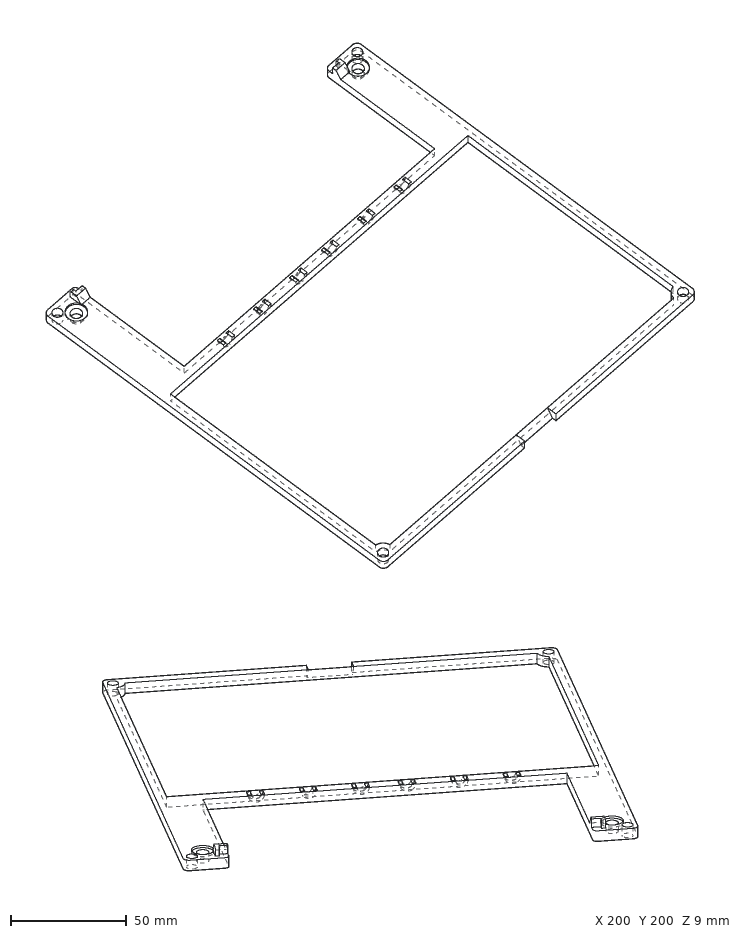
import cadquery as cq

side = 200.0
half = side / 2
thickness = 5.0
total_height = 9.0
rail = 5.0
corner_radius = 2.5

bar_left = -35.8
bar_right = -30.0
arm_width = 20.0
arm_tip_radius = 2.0
arm_inner_y = half - arm_width

corner_hole_diameter = 4.8
corner_hole_inset = 4.2
corner_boss_radius = 5.2
screw_hole_diameter = 5.5
counterbore_diameter = 9.8
counterbore_depth = 1.0
screw_inset = 10.0

tab_outer_y = 85.8
tab_web_thickness = 1.8
tab_front_x = -97.5
tab_face_x = -95.8
tab_peak_x = -93.8
tab_back_x = -91.0
tab_nose = 1.2

tie_group_offsets = (10.2, 33.2, 56.5)
tie_outer_radius = 3.5
tie_inner_radius = 2.0
tie_width = 3.5

relief_length = 20.0
relief_foot_x = 98.0


def box(x_min, x_max, y_min, y_max, height):
    """Block standing on Z = 0 between the given X and Y limits."""
    return (
        cq.Workplane("XY")
        .box(x_max - x_min, y_max - y_min, height, centered=False)
        .translate((x_min, y_min, 0))
    )


def cylinder(x, y, diameter, height, base=0.0):
    """Upright cylinder."""
    return cq.Workplane("XY", origin=(x, y, base)).circle(diameter / 2).extrude(height)


def make_frame():
    """Square plate with the window and the gap between the arms removed."""
    plate = box(-half, half, -half, half, thickness).edges("|Z").fillet(corner_radius)
    inner = half - rail
    window = box(bar_right, inner, -inner, inner, thickness)
    gap = box(-half, bar_left, -arm_inner_y, arm_inner_y, thickness)
    frame = plate.cut(window).cut(gap)
    tips = cq.selectors.BoxSelector(
        (-half - 0.2, -arm_inner_y - 0.2, -2),
        (-half + 0.2, arm_inner_y + 0.2, thickness + 2),
    )
    return frame.edges("|Z").edges(tips).fillet(arm_tip_radius)


def make_latch(direction):
    """Sloped-back tab with a forward web on its outer side; direction is +1 or -1 in Y."""
    web = (
        cq.Workplane("XZ")
        .moveTo(tab_front_x, 0)
        .lineTo(tab_front_x, total_height - tab_nose)
        .radiusArc((tab_front_x + tab_nose, total_height), tab_nose)
        .lineTo(tab_peak_x, total_height)
        .lineTo(tab_back_x, thickness)
        .lineTo(tab_back_x, 0)
        .close()
        .extrude(-(tab_outer_y - arm_inner_y))
        .translate((0, arm_inner_y, 0))
    )
    recess = box(
        tab_front_x, tab_face_x, arm_inner_y, tab_outer_y - tab_web_thickness, total_height
    )
    latch = web.cut(recess).intersect(
        box(-half, half, arm_inner_y, half, total_height)
    )
    return latch if direction > 0 else latch.mirror("XZ")


def make_tie_tunnel(y):
    """Half-ring tunnel that opens twice on the top face of the crossbar."""
    start_x = (bar_left + bar_right - tie_width) / 2
    return (
        cq.Workplane("YZ", origin=(start_x, y, thickness))
        .circle(tie_outer_radius)
        .circle(tie_inner_radius)
        .extrude(tie_width)
    )


def make_relief():
    """Cutter that slopes from the rail's inner top edge down and outward."""
    return (
        cq.Workplane("XZ")
        .polyline([
            (half - rail, thickness),
            (relief_foot_x, 0),
            (half, 0),
            (half, thickness),
        ])
        .close()
        .extrude(relief_length / 2, both=True)
    )


result = make_frame()
hole_position = half - corner_hole_inset
screw_position = half - screw_inset

for direction in (-1, 1):
    hole_y = direction * hole_position
    screw_y = direction * screw_position

    boss = cylinder(hole_position, hole_y, 2 * corner_boss_radius, thickness)
    boss_limit = box(0, hole_position, -hole_position, hole_position, thickness)
    result = result.union(boss.intersect(boss_limit))
    result = result.union(make_latch(direction))

    for hole_x in (-hole_position, hole_position):
        result = result.cut(cylinder(hole_x, hole_y, corner_hole_diameter, thickness))

    result = result.cut(cylinder(-screw_position, screw_y, screw_hole_diameter, thickness))
    counterbore_floor = thickness - counterbore_depth
    result = result.cut(
        cylinder(-screw_position, screw_y, counterbore_diameter, counterbore_depth, counterbore_floor)
    )

    for offset in tie_group_offsets:
        result = result.cut(make_tie_tunnel(direction * offset))

result = result.cut(make_relief())